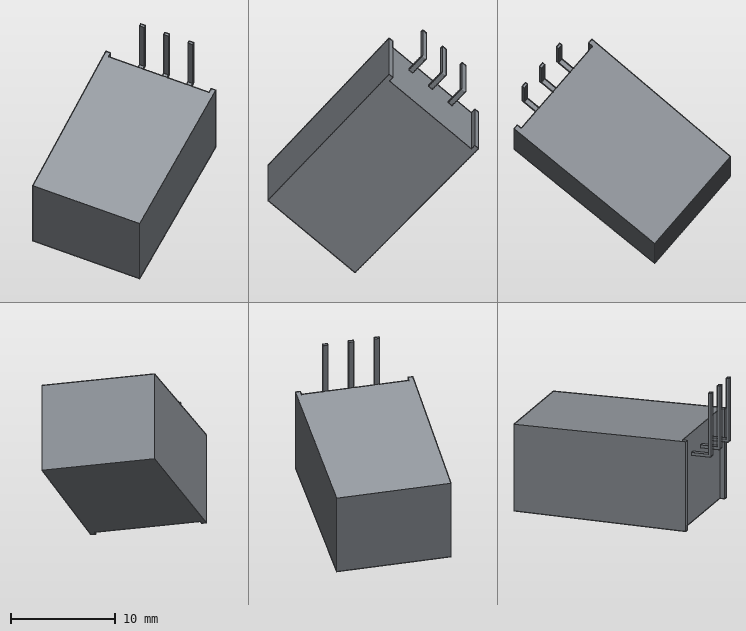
import cadquery as cq
import math

OVERALL_LENGTH = 19.0
OVERALL_HEIGHT = 13.1

HOUSING_WIDTH = 11.5
HOUSING_LENGTH = 17.5
HOUSING_HEIGHT = 8.99
DRAFT_ANGLE = 0.5

RECESS_DEPTH = 0.5
RIB_WIDTH = 0.5

PIN_COUNT = 3
PIN_PITCH = 2.53
PIN_WIDTH = 0.5
PIN_THICKNESS = 0.28
PIN_BOTTOM_Z = 6.7
PIN_BEND_RADIUS = 0.13

RECESS_FLOOR_Y = HOUSING_LENGTH - RECESS_DEPTH


def make_housing():
    inset = HOUSING_LENGTH * math.tan(math.radians(DRAFT_ANGLE))
    block = (
        cq.Workplane("XZ", origin=(0, 0, HOUSING_HEIGHT / 2))
        .rect(HOUSING_WIDTH - 2 * inset, HOUSING_HEIGHT - 2 * inset)
        .workplane(offset=-HOUSING_LENGTH)
        .rect(HOUSING_WIDTH, HOUSING_HEIGHT)
        .loft(ruled=True)
    )
    recess = cq.Workplane("XY").box(
        HOUSING_WIDTH - 2 * RIB_WIDTH, RECESS_DEPTH, HOUSING_HEIGHT, centered=(True, False, False)
    )
    return block.cut(recess.translate((0, RECESS_FLOOR_Y, 0)))


def make_pin(center_x):
    inner_y = OVERALL_LENGTH - PIN_THICKNESS
    inner_z = PIN_BOTTOM_Z + PIN_THICKNESS
    pin = (
        cq.Workplane("YZ", origin=(center_x, 0, 0))
        .moveTo(RECESS_FLOOR_Y, PIN_BOTTOM_Z)
        .lineTo(OVERALL_LENGTH, PIN_BOTTOM_Z)
        .lineTo(OVERALL_LENGTH, OVERALL_HEIGHT)
        .lineTo(inner_y, OVERALL_HEIGHT)
        .lineTo(inner_y, inner_z)
        .lineTo(RECESS_FLOOR_Y, inner_z)
        .close()
        .extrude(PIN_WIDTH / 2, both=True)
    )
    return pin.faces(">Y").edges("<Z").fillet(PIN_BEND_RADIUS)


housing = make_housing()

pins = []
for index in range(PIN_COUNT):
    offset_from_middle = index - (PIN_COUNT - 1) / 2
    pins.append(make_pin(offset_from_middle * PIN_PITCH).val())

result = cq.Compound.makeCompound([housing.val(), *pins])